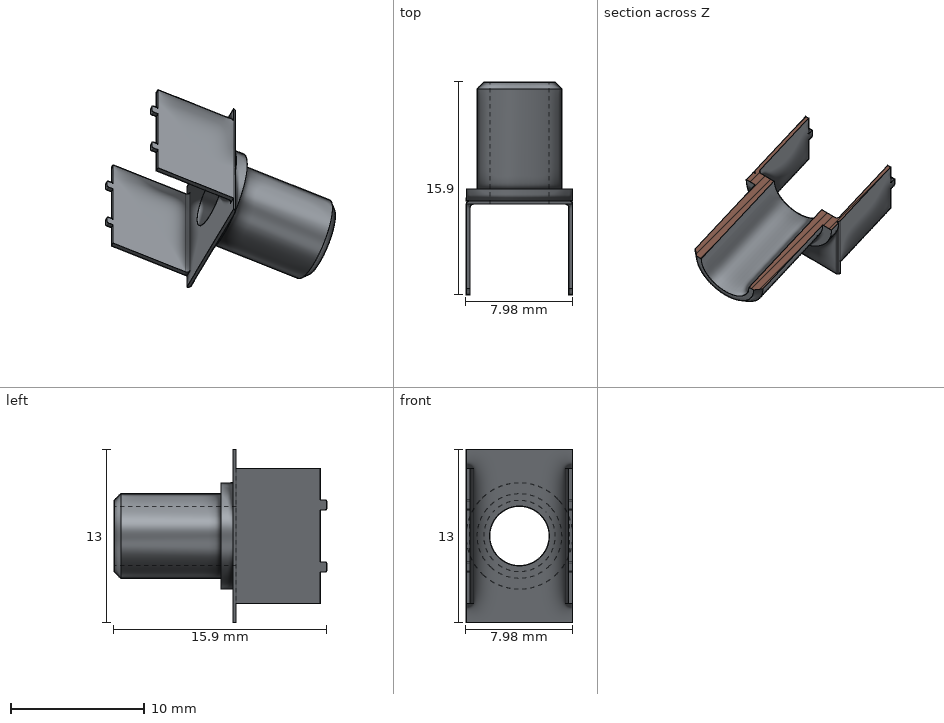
import cadquery as cq


bracket_width = 7.98
plate_height = 13.0
plate_thickness = 0.25
wing_thickness = 0.3
inner_bend_radius = 0.25
wing_height = 10.14
wing_length = 6.55

tab_length = 0.49
tab_width = 0.77
tab_pitch = 4.66
tab_corner_radius = 0.13

flange_diameter = bracket_width
flange_thickness = 0.9
barrel_diameter = 6.35
barrel_length = 8.0
barrel_chamfer = 0.5
bore_diameter = 4.45

half_width = bracket_width / 2


def cylinder_along_y(diameter, start_y, length):
    """Solid cylinder on the barrel axis, growing toward +Y from start_y."""
    plane = cq.Plane(origin=(0, start_y, 0), xDir=(1, 0, 0), normal=(0, 1, 0))
    return cq.Workplane(plane).circle(diameter / 2).extrude(length)


def make_plate():
    """Full-height face plate whose two side edges are quarter rounds through the whole thickness."""
    return (
        cq.Workplane("XY")
        .workplane(offset=-plate_height / 2)
        .moveTo(-half_width, -plate_thickness)
        .radiusArc((-half_width + plate_thickness, 0), plate_thickness)
        .lineTo(half_width - plate_thickness, 0)
        .radiusArc((half_width, -plate_thickness), plate_thickness)
        .close()
        .extrude(plate_height)
    )


def make_tab(tab_z):
    """Solder tab with rounded tip corners on the free edge of the +X wing."""
    tab_x = half_width - wing_thickness / 2
    tab_y = -wing_length - tab_length / 2
    return (
        cq.Workplane("XY")
        .box(wing_thickness, tab_length, tab_width)
        .edges("|X and <Y")
        .fillet(tab_corner_radius)
        .translate((tab_x, tab_y, tab_z))
    )


def make_wing():
    """Wing on the +X side, folded toward -Y, with its inner bend fillet and solder tabs."""
    inner_x = half_width - wing_thickness
    wing = (
        cq.Workplane("XY")
        .workplane(offset=-wing_height / 2)
        .moveTo(half_width, -plate_thickness)
        .lineTo(half_width, -wing_length)
        .lineTo(inner_x, -wing_length)
        .lineTo(inner_x, -plate_thickness - inner_bend_radius)
        .radiusArc((inner_x - inner_bend_radius, -plate_thickness), -inner_bend_radius)
        .close()
        .extrude(wing_height)
    )
    for tab_z in (-tab_pitch / 2, tab_pitch / 2):
        wing = wing.union(make_tab(tab_z))
    return wing


def make_barrel():
    """Flange and barrel with a chamfered mouth."""
    flange = cylinder_along_y(flange_diameter, 0, flange_thickness)
    barrel = cylinder_along_y(barrel_diameter, flange_thickness, barrel_length)
    return flange.union(barrel.faces(">Y").edges().chamfer(barrel_chamfer))


wing = make_wing()
body = make_plate().union(make_barrel()).union(wing).union(wing.mirror("YZ"))

bore = cylinder_along_y(bore_diameter, -plate_thickness, plate_thickness + flange_thickness + barrel_length)
result = body.cut(bore)